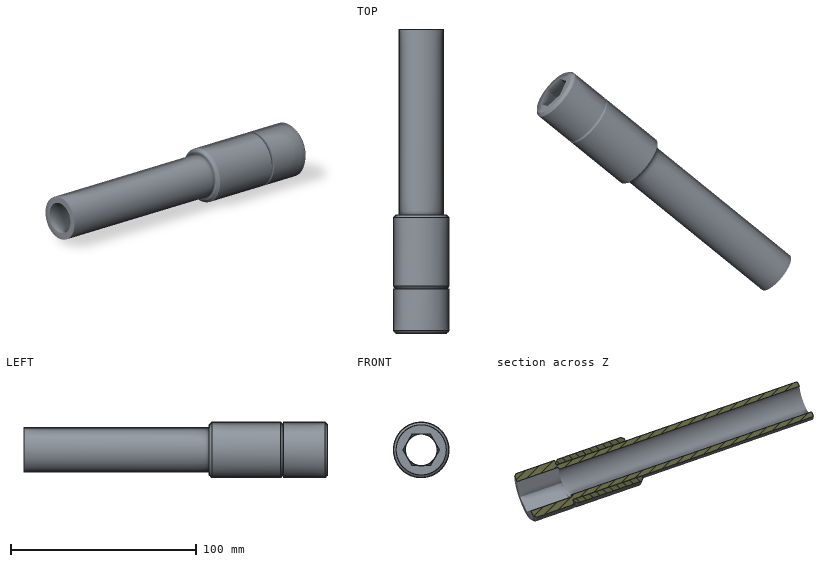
import cadquery as cq

total_length = 164.0
head_diameter = 30.0
shank_diameter = 24.0
bore_diameter = 17.0
hex_across_flats = 17.0
head_length = 24.0
sleeve_length = 40.0
chamfer = 1.5

front_y = -total_length / 2
sleeve_front_y = front_y + head_length
hex_depth = head_length
hex_across_corners = hex_across_flats / (3 ** 0.5 / 2)


def plane_at(y):
    """Cross-section plane at the given Y, with its normal along +Y."""
    return cq.Plane(origin=(0, y, 0), xDir=(1, 0, 0), normal=(0, 1, 0))


def cylinder(diameter, start_y, length):
    """Solid cylinder running from start_y toward +Y."""
    return cq.Workplane(plane_at(start_y)).circle(diameter / 2).extrude(length)


def make_socket():
    """Hollow shank with a larger head holding a hexagonal socket."""
    head = cylinder(head_diameter, front_y, head_length).faces("<Y").chamfer(chamfer)
    shank = cylinder(shank_diameter, sleeve_front_y, total_length - head_length)
    bore = cylinder(bore_diameter, front_y, total_length)
    hex_recess = cq.Workplane(plane_at(front_y)).polygon(6, hex_across_corners).extrude(hex_depth)
    return head.union(shank).cut(bore).cut(hex_recess)


def make_sleeve():
    """Ring around the shank, seated against the head and chamfered at both ends."""
    ring = cylinder(head_diameter, sleeve_front_y, sleeve_length)
    ring = ring.faces("<Y or >Y").chamfer(chamfer)
    return ring.cut(cylinder(shank_diameter, sleeve_front_y, sleeve_length))


socket = make_socket()
sleeve = make_sleeve()

result = cq.Compound.makeCompound([socket.val(), sleeve.val()])